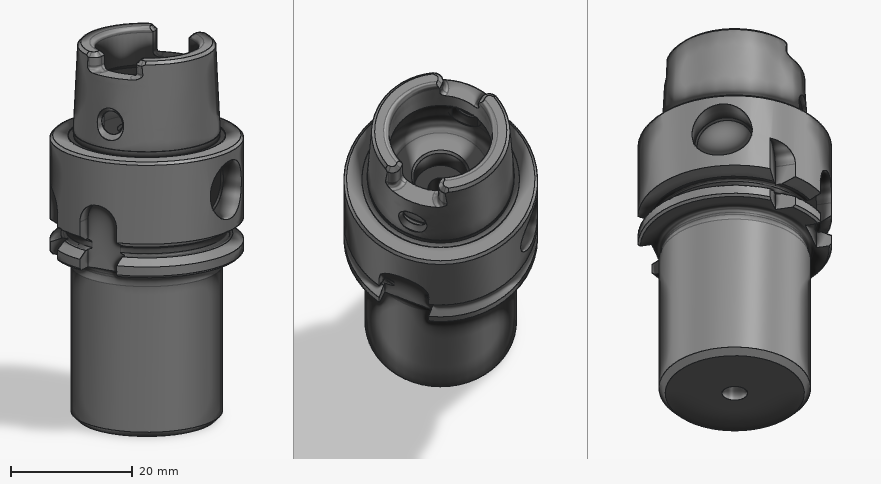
import cadquery as cq
import math

TOTAL_HEIGHT = 64.5
BODY_END_CHAMFER = 1.0
NECK_TAPER_START = 26.1
NECK_TAPER_END = 27.3
FLANGE_BOTTOM = 28.6
FLANGE_FACE = 48.5
SHANK_BASE = 49.2

FLANGE_RADIUS = 32.0 / 2
BODY_RADIUS = 25.0 / 2
NECK_RADIUS = 24.3 / 2
RELIEF_RADIUS = 24.1 / 2
SHANK_BASE_RADIUS = 24.3 / 2
SHANK_HALF_TAPER = 1 / 20

FLANGE_BOTTOM_CHAMFER = 0.4
FLANGE_FACE_CHAMFER = 0.45
NECK_FILLET = 0.9
SHANK_TOP_CHAMFER = 0.5
FACE_RECESS_RADIUS = 26.0 / 2
FACE_RECESS_DEPTH = 0.2

GROOVE_MIDDLE = 32.5
GROOVE_MOUTH = 3.95
GROOVE_ROOT_WIDTH = 1.9
GROOVE_ROOT_RADIUS = 26.6 / 2
GROOVE_ROOT_FILLET = 0.45
GROOVE_FLANK_ANGLE = 30.0

BORE_RADIUS = 17.0 / 2
BORE_LIP_RADIUS = 0.9
UNDERCUT_RADIUS = 20.5 / 2
UNDERCUT_TOP = 57.1
UNDERCUT_CONE_TOP = 58.05
UNDERCUT_FLOOR_FILLET = 2.1
BORE_FLOOR = 49.6
STEP_RADIUS = 8.9 / 2
STEP_CHAMFER = 0.4
STEP_FLOOR = 45.15
COOLANT_RADIUS = 4.2 / 2

CROSS_HOLE_RADIUS = 4.0 / 2
CROSS_HOLE_HEIGHT = 53.5
CROSS_SINK_RADIUS = 5.6 / 2
CROSS_INNER_SINK_REACH = 0.25

DRIVE_SLOT_HALF_WIDTH = 3.5
DRIVE_SLOT_FLARE_RADIUS = 1.5
DRIVE_SLOT_SHOULDER = 10.2
DRIVE_SLOT_CHAMFER = 0.8
DRIVE_SLOT_FILLET = 0.95
FRONT_DRIVE_SLOT_DEPTH = 3.15
REAR_DRIVE_SLOT_DEPTH = 5.0

KEY_SLOT_RADIUS = 7.0 / 2
REAR_KEY_SLOT_RADIUS = 8.9 / 2
KEY_SLOT_ARC_HEIGHT = 36.95
KEY_SLOT_FLOOR = 26.0 / 2
NOTCH_FLOOR = 9.5

POCKET_RADIUS = 10.0 / 2
POCKET_HEIGHT = 41.55
POCKET_FLOOR = 11.4
POCKET_FLOOR_CHAMFER = 0.3
LEFT_POCKET_ANGLE = 187.0
RIGHT_POCKET_ANGLE = 0.0

CLEARANCE = 3.2

QUARTER_ARC_INSET = 1 - math.sqrt(0.5)


def turned_blank():
    """Outer shape of revolution, without the gripper groove."""
    shank_chamfer_z = TOTAL_HEIGHT - SHANK_TOP_CHAMFER
    shank_top_radius = SHANK_BASE_RADIUS - (shank_chamfer_z - SHANK_BASE) * SHANK_HALF_TAPER
    recess_z = FLANGE_FACE - FACE_RECESS_DEPTH
    fillet_middle = NECK_FILLET * QUARTER_ARC_INSET
    outline = (
        cq.Workplane("XZ")
        .moveTo(0, 0)
        .lineTo(BODY_RADIUS - BODY_END_CHAMFER, 0)
        .lineTo(BODY_RADIUS, BODY_END_CHAMFER)
        .lineTo(BODY_RADIUS, NECK_TAPER_START)
        .lineTo(NECK_RADIUS, NECK_TAPER_END)
        .lineTo(NECK_RADIUS, FLANGE_BOTTOM - NECK_FILLET)
        .threePointArc(
            (NECK_RADIUS + fillet_middle, FLANGE_BOTTOM - fillet_middle),
            (NECK_RADIUS + NECK_FILLET, FLANGE_BOTTOM),
        )
        .lineTo(FLANGE_RADIUS - FLANGE_BOTTOM_CHAMFER, FLANGE_BOTTOM)
        .lineTo(FLANGE_RADIUS, FLANGE_BOTTOM + FLANGE_BOTTOM_CHAMFER)
        .lineTo(FLANGE_RADIUS, FLANGE_FACE - FLANGE_FACE_CHAMFER)
        .lineTo(FLANGE_RADIUS - FLANGE_FACE_CHAMFER, FLANGE_FACE)
        .lineTo(FACE_RECESS_RADIUS, FLANGE_FACE)
        .lineTo(FACE_RECESS_RADIUS, recess_z)
        .lineTo(RELIEF_RADIUS, recess_z)
        .lineTo(RELIEF_RADIUS, SHANK_BASE)
        .lineTo(SHANK_BASE_RADIUS, SHANK_BASE)
        .lineTo(shank_top_radius, shank_chamfer_z)
        .lineTo(shank_top_radius - SHANK_TOP_CHAMFER, TOTAL_HEIGHT)
        .lineTo(0, TOTAL_HEIGHT)
        .close()
    )
    return outline.revolve(360, (0, 0, 0), (0, 1, 0))


def gripper_groove():
    """Ring with 30 degree flanks and a square root with filleted corners."""
    half_mouth = GROOVE_MOUTH / 2
    half_root = GROOVE_ROOT_WIDTH / 2
    flank_depth = (half_mouth - half_root) / math.tan(math.radians(GROOVE_FLANK_ANGLE))
    flank_end = FLANGE_RADIUS - flank_depth
    outer = FLANGE_RADIUS + CLEARANCE
    half_outline = [
        (outer, half_mouth),
        (FLANGE_RADIUS, half_mouth),
        (flank_end, half_root),
        (GROOVE_ROOT_RADIUS, half_root),
    ]
    points = half_outline + [(r, -z) for r, z in reversed(half_outline)]
    ring = (
        cq.Workplane("XZ", origin=(0, 0, GROOVE_MIDDLE))
        .polyline(points)
        .close()
        .revolve(360, (0, 0, 0), (0, 1, 0))
    )
    smallest_circles = cq.selectors.RadiusNthSelector(0)
    return ring.edges("%CIRCLE").edges(smallest_circles).fillet(GROOVE_ROOT_FILLET)


def stepped_bore():
    """Clamping bore with undercut, step and coolant hole, open at both ends."""
    lip_middle = BORE_LIP_RADIUS * QUARTER_ARC_INSET
    floor_middle = UNDERCUT_FLOOR_FILLET * QUARTER_ARC_INSET
    outline = (
        cq.Workplane("XZ")
        .moveTo(0, -CLEARANCE)
        .lineTo(COOLANT_RADIUS, -CLEARANCE)
        .lineTo(COOLANT_RADIUS, STEP_FLOOR)
        .lineTo(STEP_RADIUS, STEP_FLOOR)
        .lineTo(STEP_RADIUS, BORE_FLOOR - STEP_CHAMFER)
        .lineTo(STEP_RADIUS + STEP_CHAMFER, BORE_FLOOR)
        .lineTo(UNDERCUT_RADIUS - UNDERCUT_FLOOR_FILLET, BORE_FLOOR)
        .threePointArc(
            (UNDERCUT_RADIUS - floor_middle, BORE_FLOOR + floor_middle),
            (UNDERCUT_RADIUS, BORE_FLOOR + UNDERCUT_FLOOR_FILLET),
        )
        .lineTo(UNDERCUT_RADIUS, UNDERCUT_TOP)
        .lineTo(BORE_RADIUS, UNDERCUT_CONE_TOP)
        .lineTo(BORE_RADIUS, TOTAL_HEIGHT - BORE_LIP_RADIUS)
        .threePointArc(
            (BORE_RADIUS + lip_middle, TOTAL_HEIGHT - lip_middle),
            (BORE_RADIUS + BORE_LIP_RADIUS, TOTAL_HEIGHT),
        )
        .lineTo(BORE_RADIUS + BORE_LIP_RADIUS, TOTAL_HEIGHT + CLEARANCE)
        .lineTo(0, TOTAL_HEIGHT + CLEARANCE)
        .close()
    )
    return outline.revolve(360, (0, 0, 0), (0, 1, 0))


def cross_hole():
    """Hole along Y through both shank walls, countersunk on the outer and inner side of each wall."""
    outer_wall = SHANK_BASE_RADIUS - (CROSS_HOLE_HEIGHT - SHANK_BASE) * SHANK_HALF_TAPER
    sink_depth = CROSS_SINK_RADIUS - CROSS_HOLE_RADIUS
    inner_sink_start = UNDERCUT_RADIUS - CROSS_INNER_SINK_REACH
    half_outline = [
        (CROSS_HOLE_RADIUS, inner_sink_start),
        (CROSS_SINK_RADIUS + CROSS_INNER_SINK_REACH, inner_sink_start),
        (CROSS_HOLE_RADIUS, UNDERCUT_RADIUS + sink_depth),
        (CROSS_HOLE_RADIUS, outer_wall - sink_depth),
        (CROSS_SINK_RADIUS, outer_wall),
        (CROSS_SINK_RADIUS, outer_wall + CLEARANCE),
        (0, outer_wall + CLEARANCE),
    ]
    points = [(r, -y) for r, y in reversed(half_outline)] + half_outline
    return (
        cq.Workplane("XY", origin=(0, 0, CROSS_HOLE_HEIGHT))
        .polyline(points)
        .close()
        .revolve(360, (0, 0, 0), (0, 1, 0))
    )


def drive_slot_plan(z):
    """Plan of a slot toward +Y whose walls flare out to a wide shoulder."""
    half = DRIVE_SLOT_HALF_WIDTH
    flare = DRIVE_SLOT_FLARE_RADIUS
    shoulder = DRIVE_SLOT_SHOULDER
    flare_start = shoulder - flare
    middle = flare * QUARTER_ARC_INSET
    side = SHANK_BASE_RADIUS
    outer = SHANK_BASE_RADIUS + CLEARANCE
    return (
        cq.Workplane("XY", origin=(0, 0, z))
        .moveTo(-half, 0)
        .lineTo(half, 0)
        .lineTo(half, flare_start)
        .threePointArc((half + middle, shoulder - middle), (half + flare, shoulder))
        .lineTo(side, shoulder)
        .lineTo(side, outer)
        .lineTo(-side, outer)
        .lineTo(-side, shoulder)
        .lineTo(-half - flare, shoulder)
        .threePointArc((-half - middle, shoulder - middle), (-half, flare_start))
        .close()
    )


def drive_slot(depth):
    """Cutter for one drive slot, with filleted floor and chamfered top edges."""
    floor = TOTAL_HEIGHT - depth
    slot = drive_slot_plan(floor).extrude(depth)
    slot = slot.faces("<Z").edges().fillet(DRIVE_SLOT_FILLET)
    chamfer = drive_slot_plan(TOTAL_HEIGHT - DRIVE_SLOT_CHAMFER).extrude(DRIVE_SLOT_CHAMFER, taper=-45)
    return slot.union(chamfer)


def key_slot(radius, floor):
    """Cutter for a round-topped slot milled from the -Y side, open downward."""
    length = FLANGE_RADIUS + CLEARANCE - floor
    bottom = FLANGE_BOTTOM - KEY_SLOT_ARC_HEIGHT
    return (
        cq.Workplane("XZ", origin=(0, -floor, KEY_SLOT_ARC_HEIGHT))
        .moveTo(-radius, bottom)
        .lineTo(radius, bottom)
        .lineTo(radius, 0)
        .threePointArc((0, radius), (-radius, 0))
        .close()
        .extrude(length)
    )


def side_pocket(angle):
    """Cutter for a round pocket with a chamfered flat floor, opening at an angle from +X."""
    pocket = (
        cq.Workplane("YZ", origin=(POCKET_FLOOR, 0, POCKET_HEIGHT))
        .circle(POCKET_RADIUS)
        .extrude(FLANGE_RADIUS + CLEARANCE - POCKET_FLOOR)
        .faces("<X")
        .chamfer(POCKET_FLOOR_CHAMFER)
    )
    return pocket.rotate((0, 0, 0), (0, 0, 1), angle)


def half_turn(shape):
    """Turn a cutter to the opposite side of the Z axis."""
    return shape.rotate((0, 0, 0), (0, 0, 1), 180)


result = turned_blank()
result = result.cut(gripper_groove())
result = result.cut(stepped_bore())
result = result.cut(cross_hole())

result = result.cut(half_turn(drive_slot(FRONT_DRIVE_SLOT_DEPTH)))
result = result.cut(drive_slot(REAR_DRIVE_SLOT_DEPTH))

result = result.cut(key_slot(KEY_SLOT_RADIUS, KEY_SLOT_FLOOR))
result = result.cut(half_turn(key_slot(REAR_KEY_SLOT_RADIUS, KEY_SLOT_FLOOR)))
result = result.cut(key_slot(KEY_SLOT_RADIUS, NOTCH_FLOOR).translate((-KEY_SLOT_FLOOR, 0, 0)))

for pocket_angle in (LEFT_POCKET_ANGLE, RIGHT_POCKET_ANGLE):
    result = result.cut(side_pocket(pocket_angle))